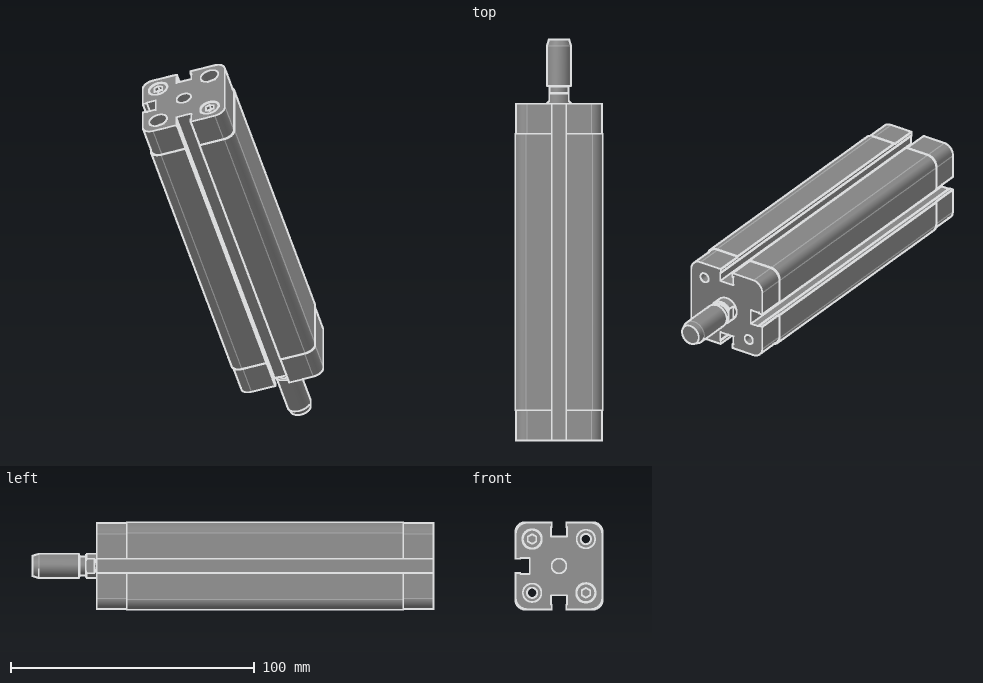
import cadquery as cq
import math

TOTAL_LENGTH = 164.5
ROD_LENGTH = 26.3
CAP_LENGTH = 12.3
TIP_Y = TOTAL_LENGTH / 2
REAR_Y = -TOTAL_LENGTH / 2
FRONT_Y = TIP_Y - ROD_LENGTH

BODY_WIDTH = 36.0
CAP_WIDTH = 35.4
CORNER_RADIUS = 4.5

SLOT_THROAT = 5.8
SLOT_CHAMFER = 0.2
SLOT_WIDTH = 6.4
SLOT_DEPTH = 6.0
SLOT_LIP = 2.1
SLOT_ANGLES = (0, 90, 180)

HOLE_OFFSET = 11.0
THROUGH_DIAMETER = 4.1
COUNTERBORE_DIAMETER = 7.5
COUNTERBORE_DEPTH = 5.0
SCREW_BORE_DIAMETER = 8.0
SCREW_HEAD_DIAMETER = 7.5
SCREW_BORE_DEPTH = 4.1
SCREW_HEAD_RECESS = 0.2
SOCKET_FLATS = 3.5
SOCKET_DEPTH = 2.0
CENTER_HOLE_DIAMETER = 6.1
CENTER_HOLE_DEPTH = 5.0

ROD_DIAMETER = 10.0
TIP_DIAMETER = 8.4
TIP_LENGTH = 2.6
NECK_DIAMETER = 7.9
NECK_LENGTH = 2.8
THREAD_RUNOUT = 0.3
COLLAR_LENGTH = 4.5
COLLAR_CHAMFER = 0.5
FLAT_RUNOUT = 1.0
FLATS_WIDTH = 8.0


def section_plane(y):
    """Plane across the part at y, extruding toward +Y, with local x along -X and local y along Z."""
    return cq.Workplane(cq.Plane((0, y, 0), xDir=(-1, 0, 0), normal=(0, 1, 0)))


def rounded_bar(width, y_start, length):
    bar = section_plane(y_start).rect(width, width).extrude(length)
    return bar.edges("|Y").fillet(CORNER_RADIUS)


def cylinder(diameter, y_start, length, x=0, z=0):
    return section_plane(y_start).center(-x, z).circle(diameter / 2).extrude(length)


def slot_cutter(width, y_start, length):
    """Slot in the +Z side of a square bar of the given width."""
    side = width / 2
    lip = BODY_WIDTH / 2 - SLOT_LIP
    floor = BODY_WIDTH / 2 - SLOT_DEPTH
    throat = SLOT_THROAT / 2
    half_profile = [
        (throat + SLOT_CHAMFER, side),
        (throat, side - SLOT_CHAMFER),
        (throat, lip),
        (SLOT_WIDTH / 2, lip),
        (SLOT_WIDTH / 2, floor),
    ]
    mirrored = [(-x, z) for x, z in reversed(half_profile)]
    return section_plane(y_start).polyline(half_profile + mirrored).close().extrude(length)


def slotted_bar(width, y_start, length):
    bar = rounded_bar(width, y_start, length)
    for angle in SLOT_ANGLES:
        bar = bar.cut(slot_cutter(width, y_start, length).rotate((0, 0, 0), (0, 1, 0), -angle))
    return bar


def housing():
    body_start = REAR_Y + CAP_LENGTH
    body_end = FRONT_Y - CAP_LENGTH
    rear_cap = slotted_bar(CAP_WIDTH, REAR_Y, CAP_LENGTH)
    body = slotted_bar(BODY_WIDTH, body_start, body_end - body_start)
    front_cap = slotted_bar(CAP_WIDTH, body_end, CAP_LENGTH)
    return rear_cap.union(body).union(front_cap)


def through_hole(x, z):
    drill = cylinder(THROUGH_DIAMETER, REAR_Y, FRONT_Y - REAR_Y, x, z)
    return drill.union(cylinder(COUNTERBORE_DIAMETER, REAR_Y, COUNTERBORE_DEPTH, x, z))


def screw_bore(x, z):
    """Space around a sunk socket screw: bore, minus the head, plus its hex socket."""
    head_y = REAR_Y + SCREW_HEAD_RECESS
    bore = cylinder(SCREW_BORE_DIAMETER, REAR_Y, SCREW_BORE_DEPTH, x, z)
    head = cylinder(SCREW_HEAD_DIAMETER, head_y, SCREW_BORE_DEPTH, x, z)
    corner_diameter = SOCKET_FLATS / math.cos(math.pi / 6)
    socket = section_plane(head_y).center(-x, z).transformed(rotate=(0, 0, 90))
    socket = socket.polygon(6, corner_diameter).extrude(SOCKET_DEPTH)
    return bore.cut(head).union(socket)


def flat_cutter(side):
    """Spanner flat on one X side of the collar, sloping out to full radius at the housing."""
    flat_x = side * FLATS_WIDTH / 2
    outer_x = side * ROD_DIAMETER / 2
    collar_end = FRONT_Y + COLLAR_LENGTH
    profile = [
        (outer_x, FRONT_Y),
        (flat_x, FRONT_Y + FLAT_RUNOUT),
        (flat_x, collar_end),
        (outer_x, collar_end),
    ]
    return cq.Workplane("XY").polyline(profile).close().extrude(ROD_DIAMETER / 2, both=True)


def piston_rod():
    """Turned profile with radius along Z, revolved about Y, then two spanner flats on X."""
    collar_end = FRONT_Y + COLLAR_LENGTH
    thread_start = collar_end + NECK_LENGTH
    rod_radius = ROD_DIAMETER / 2
    tip_radius = TIP_DIAMETER / 2
    profile = [
        (FRONT_Y, 0),
        (FRONT_Y, rod_radius),
        (collar_end - COLLAR_CHAMFER, rod_radius),
        (collar_end, rod_radius - COLLAR_CHAMFER),
        (collar_end, NECK_DIAMETER / 2),
        (thread_start - THREAD_RUNOUT, NECK_DIAMETER / 2),
        (thread_start, rod_radius),
        (TIP_Y - TIP_LENGTH, rod_radius),
        (TIP_Y, tip_radius),
        (TIP_Y, 0),
    ]
    rod = cq.Workplane("YZ").polyline(profile).close().revolve(360, (0, 0, 0), (1, 0, 0))
    return rod.cut(flat_cutter(1)).cut(flat_cutter(-1))


result = housing().union(piston_rod())

for side in (1, -1):
    result = result.cut(through_hole(side * HOLE_OFFSET, side * HOLE_OFFSET))
    result = result.cut(screw_bore(-side * HOLE_OFFSET, side * HOLE_OFFSET))

result = result.cut(cylinder(CENTER_HOLE_DIAMETER, REAR_Y, CENTER_HOLE_DEPTH))